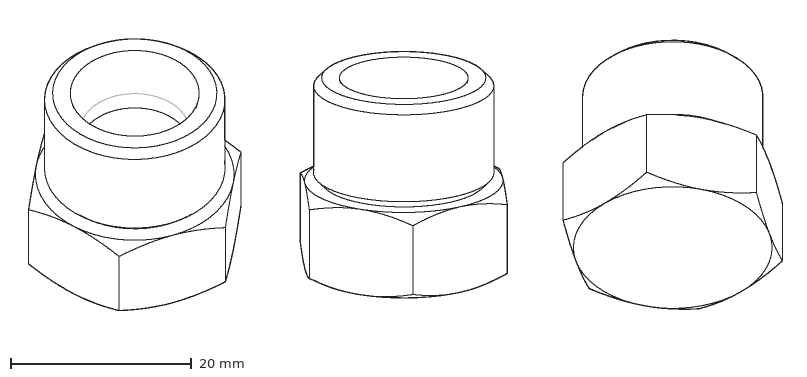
import cadquery as cq
import math

across_flats = 22.0
across_corners = across_flats / math.cos(math.radians(30))
hex_height = 10.0
corner_chamfer_angle = 30

total_height = 22.0
spigot_diameter = 20.0
spigot_end_diameter = 18.19
spigot_chamfer_height = 0.91

bore_diameter = 12.0
mouth_diameter = 14.27
mouth_half_angle = 12
mouth_depth = (mouth_diameter - bore_diameter) / 2 / math.tan(math.radians(mouth_half_angle))
bore_depth = 7.5


def revolve_profile(points):
    """Revolve a closed (radius, height) outline about the Z axis."""
    return cq.Workplane("XZ").polyline(points).close().revolve(360, (0, 0), (0, 1))


def make_hex_base():
    """Hexagon with two flats facing +X and -X, its corners turned down at both ends."""
    prism = (
        cq.Workplane("XY")
        .polygon(6, across_corners)
        .extrude(hex_height)
        .rotate((0, 0, 0), (0, 0, 1), 30)
    )
    flat_radius = across_flats / 2
    rim_radius = across_corners / 2 + 0.25
    rim_drop = (rim_radius - flat_radius) * math.tan(math.radians(corner_chamfer_angle))
    envelope = revolve_profile([
        (0, 0),
        (flat_radius, 0),
        (rim_radius, rim_drop),
        (rim_radius, hex_height - rim_drop),
        (flat_radius, hex_height),
        (0, hex_height),
    ])
    return prism.intersect(envelope)


def make_spigot():
    """Cylinder chamfered at its free end and where it meets the hexagon."""
    end_radius = spigot_end_diameter / 2
    radius = spigot_diameter / 2
    return revolve_profile([
        (0, hex_height),
        (end_radius, hex_height),
        (radius, hex_height + spigot_chamfer_height),
        (radius, total_height - spigot_chamfer_height),
        (end_radius, total_height),
        (0, total_height),
    ])


def make_bore():
    """Flat-bottomed blind bore opening through a tapered mouth."""
    bore_radius = bore_diameter / 2
    floor_height = total_height - bore_depth
    return revolve_profile([
        (0, floor_height),
        (bore_radius, floor_height),
        (bore_radius, total_height - mouth_depth),
        (mouth_diameter / 2, total_height),
        (0, total_height),
    ])


result = make_hex_base().union(make_spigot()).cut(make_bore())